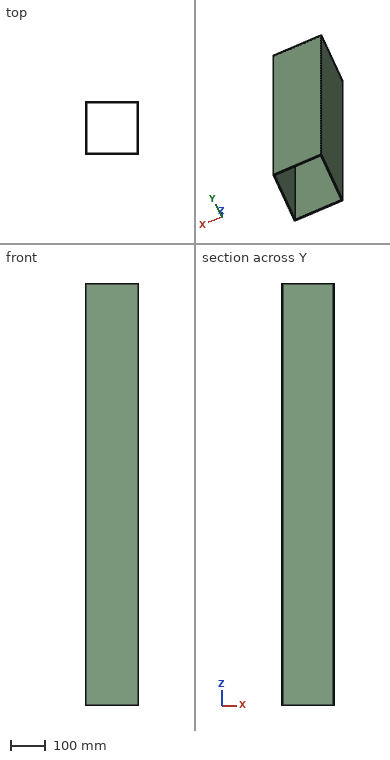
import cadquery as cq

side = 152.0
length = 1219.0
wall = 3.0

bore_side = side - 2 * wall

result = (
    cq.Workplane("XY")
    .rect(side, side)
    .rect(bore_side, bore_side)
    .extrude(length)
)